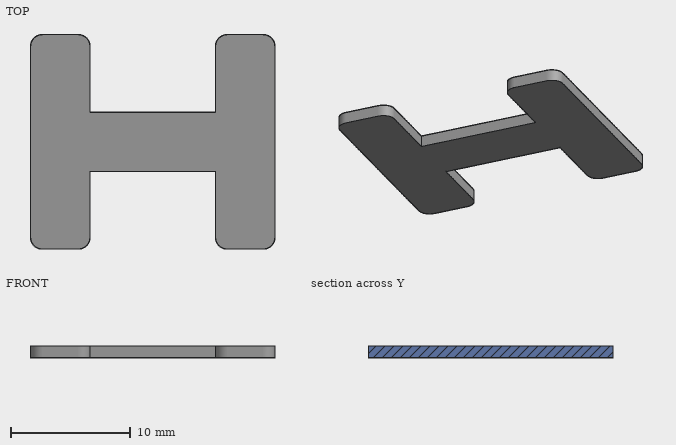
import cadquery as cq

overall_width = 20.5
leg_length = 18.0
thickness = 1.0
leg_width = 5.0
bridge_width = 5.0
corner_radius = 1.0

leg_offset = (overall_width - leg_width) / 2


def make_leg(center_x):
    """Flat bar along Y with its four vertical corner edges rounded."""
    return (
        cq.Workplane("XY")
        .center(center_x, 0)
        .rect(leg_width, leg_length)
        .extrude(thickness)
        .edges("|Z")
        .fillet(corner_radius)
    )


def make_bridge():
    """Crossbar along X, running between the centre lines of the legs."""
    return cq.Workplane("XY").rect(2 * leg_offset, bridge_width).extrude(thickness)


result = make_bridge()
for side in (-1, 1):
    result = result.union(make_leg(side * leg_offset))
result = result.clean()